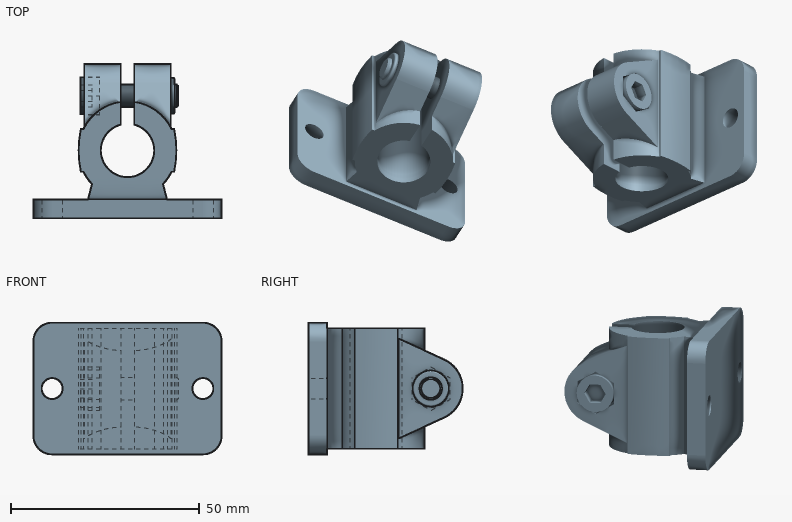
import cadquery as cq
import math

plate_length = 50.0
plate_height = 35.0
plate_thickness = 5.0
plate_corner_radius = 5.0
plate_hole_diameter = 5.5
plate_hole_spacing = 40.0

barrel_height = 32.0
barrel_radius = 13.0
barrel_center_y = 18.0
bore_diameter = 14.1
slot_width = 3.5

pad_width = 11.4
pad_edge_x = 12.4

neck_base_width = 21.0
neck_top_width = 18.9
neck_top_y = barrel_center_y - math.sqrt(barrel_radius**2 - (neck_top_width / 2) ** 2)

ear_outer_x = 11.5
ear_tip_radius = 8.5
bolt_y = 32.5

bolt_diameter = 6.0
bolt_tip_chamfer = 0.5
bolt_end_x = 13.5
fastener_projection = 1.0
head_diameter = 9.9
head_recess_flats = 10.0
head_recess_depth = 4.0
socket_flats = 5.0
socket_depth = 3.0
nut_diameter = 9.6
nut_edge_radius = 0.5


def barrel_bottom():
    """Horizontal workplane at the lower end of the barrel."""
    return cq.Workplane("XY", origin=(0, 0, -barrel_height / 2))


def hexagon_corner_diameter(flats):
    """Distance across the corners of a hexagon, from its distance across the flats."""
    return flats / math.cos(math.pi / 6)


def bolt_workplane(x):
    """Plane normal to X, centred on the bolt axis."""
    return cq.Workplane("YZ", origin=(x, bolt_y, 0))


def make_plate():
    plate = cq.Workplane("XY").box(
        plate_length, plate_thickness, plate_height, centered=(True, False, True)
    )
    plate = plate.edges("|Y").fillet(plate_corner_radius)
    return (
        plate.faces(">Y")
        .workplane(centerOption="CenterOfBoundBox")
        .rarray(plate_hole_spacing, 0.5, 2, 1)
        .hole(plate_hole_diameter)
    )


def make_barrel():
    barrel = barrel_bottom().center(0, barrel_center_y)
    barrel = barrel.circle(barrel_radius).extrude(barrel_height)
    trim = cq.Workplane("XY").box(
        2 * barrel_radius, neck_top_y, barrel_height, centered=(True, False, True)
    )
    return barrel.cut(trim)


def make_pads():
    return (
        barrel_bottom()
        .center(0, barrel_center_y)
        .moveTo(-pad_edge_x, -pad_width / 2)
        .lineTo(pad_edge_x, -pad_width / 2)
        .threePointArc((barrel_radius, 0), (pad_edge_x, pad_width / 2))
        .lineTo(-pad_edge_x, pad_width / 2)
        .threePointArc((-barrel_radius, 0), (-pad_edge_x, -pad_width / 2))
        .close()
        .extrude(barrel_height)
    )


def make_neck():
    return (
        barrel_bottom()
        .moveTo(-neck_base_width / 2, plate_thickness)
        .lineTo(neck_base_width / 2, plate_thickness)
        .lineTo(neck_top_width / 2, neck_top_y)
        .lineTo(-neck_top_width / 2, neck_top_y)
        .close()
        .extrude(barrel_height)
    )


def make_ears():
    flank_y = barrel_center_y - bolt_y
    flank_z = barrel_height / 2
    flank_angle = math.atan2(flank_z, flank_y)
    tangent_angle = flank_angle - math.acos(ear_tip_radius / math.hypot(flank_y, flank_z))
    tangent_y = ear_tip_radius * math.cos(tangent_angle)
    tangent_z = ear_tip_radius * math.sin(tangent_angle)
    return (
        bolt_workplane(-ear_outer_x)
        .moveTo(flank_y, -flank_z)
        .lineTo(tangent_y, -tangent_z)
        .threePointArc((ear_tip_radius, 0), (tangent_y, tangent_z))
        .lineTo(flank_y, flank_z)
        .close()
        .extrude(2 * ear_outer_x)
    )


def make_clamp_cuts():
    bore = barrel_bottom().center(0, barrel_center_y)
    bore = bore.circle(bore_diameter / 2).extrude(barrel_height)
    slot_length = bolt_y + ear_tip_radius - barrel_center_y
    slot = cq.Workplane("XY").box(slot_width, slot_length, barrel_height, centered=(True, False, True))
    slot = slot.translate((0, barrel_center_y, 0))
    recess = (
        bolt_workplane(-ear_outer_x)
        .transformed(rotate=(0, 0, 90))
        .polygon(6, hexagon_corner_diameter(head_recess_flats))
        .extrude(head_recess_depth)
    )
    return bore.union(slot).union(recess)


def make_bolt():
    head_x = -ear_outer_x - fastener_projection
    shank = bolt_workplane(head_x).circle(bolt_diameter / 2).extrude(bolt_end_x - head_x)
    shank = shank.faces(">X").chamfer(bolt_tip_chamfer)
    head_length = fastener_projection + head_recess_depth
    head = bolt_workplane(head_x).circle(head_diameter / 2).extrude(head_length)
    socket = (
        bolt_workplane(head_x)
        .polygon(6, hexagon_corner_diameter(socket_flats))
        .extrude(socket_depth)
    )
    return shank.union(head).cut(socket)


def make_nut():
    nut = bolt_workplane(ear_outer_x).circle(nut_diameter / 2).extrude(fastener_projection)
    return nut.faces(">X").edges().fillet(nut_edge_radius)


clamp = make_barrel().union(make_pads()).union(make_neck()).union(make_ears())
clamp = clamp.cut(make_clamp_cuts())
result = make_plate().union(clamp).union(make_bolt()).union(make_nut())